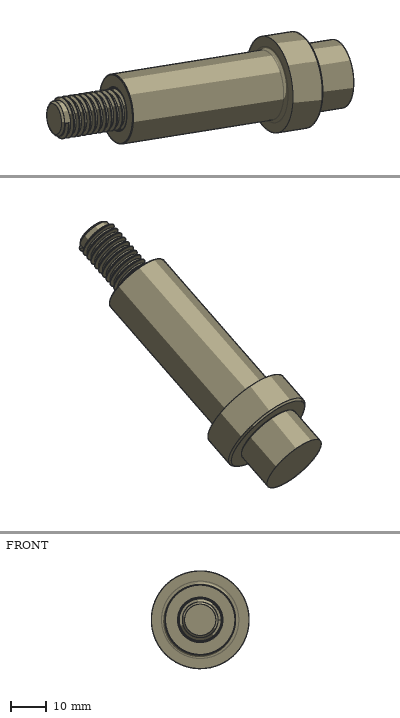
import cadquery as cq
import math

overall_length = 92.0
head_length = 12.0
flange_length = 10.0
sleeve_length = 50.0

head_rear_y = overall_length / 2
flange_rear_y = head_rear_y - head_length
flange_front_y = flange_rear_y - flange_length
sleeve_front_y = flange_front_y - sleeve_length
screw_tip_y = -overall_length / 2

flange_diameter = 28.0
sleeve_diameter = 20.2
clearance_diameter = 12.5
flange_chamfer = 0.55
sleeve_end_chamfer = 0.23
flange_fillet = 0.9

head_diameter = 19.9
head_seat_chamfer = 0.23
thread_diameter = 12.0
root_diameter = 10.2
tip_chamfer = 0.6
thread_pitch = 1.75
thread_turns = 12
thread_end_gap = 1.5
crest_width = 0.23
flank_angle = 30.0
root_overlap = 0.1


def cylinder(diameter, start_y, end_y):
    """Cylinder on the Y axis from start_y towards +Y to end_y."""
    axis_plane = cq.Plane(origin=(0, start_y, 0), xDir=(1, 0, 0), normal=(0, 1, 0))
    return cq.Workplane(axis_plane).circle(diameter / 2).extrude(end_y - start_y)


def make_bushing():
    """Sleeve with a flange at its rear end and a clearance hole right through, its front end chamfered."""
    flange = cylinder(flange_diameter, flange_front_y, flange_rear_y)
    flange = flange.faces(">Y").chamfer(flange_chamfer)
    sleeve = cylinder(sleeve_diameter, sleeve_front_y, flange_front_y)
    blank = flange.union(sleeve)
    front_plane_edges = cq.selectors.BoxSelector(
        (-flange_diameter, flange_front_y - flange_fillet, -flange_diameter),
        (flange_diameter, flange_front_y + flange_fillet, flange_diameter),
    )
    smallest_circle = cq.selectors.RadiusNthSelector(0)
    blank = blank.edges(front_plane_edges).edges(smallest_circle).fillet(flange_fillet)
    bushing = blank.cut(cylinder(clearance_diameter, sleeve_front_y, flange_rear_y))
    return bushing.faces("<Y").edges().chamfer(sleeve_end_chamfer)


def make_thread_ridge(start_y):
    """Right-handed helical ridge on the screw core, running from start_y towards +Y."""
    base_radius = root_diameter / 2 - root_overlap
    crest_radius = thread_diameter / 2
    half_crest = crest_width / 2
    half_base = half_crest + (crest_radius - base_radius) * math.tan(math.radians(flank_angle))
    helix = cq.Wire.makeHelix(thread_pitch, thread_pitch * thread_turns, base_radius)
    ridge = (
        cq.Workplane("XZ")
        .polyline([
            (base_radius, -half_base),
            (crest_radius, -half_crest),
            (crest_radius, half_crest),
            (base_radius, half_base),
        ])
        .close()
        .sweep(cq.Workplane(obj=helix), isFrenet=True)
    )
    return ridge.rotate((0, 0, 0), (1, 0, 0), -90).translate((0, start_y, 0))


def make_screw():
    """Cylindrical head, plain shank inside the bushing and a threaded end."""
    thread_start_y = screw_tip_y + thread_end_gap
    shank_front_y = thread_start_y + thread_pitch * thread_turns
    head = cylinder(head_diameter, flange_rear_y, head_rear_y)
    head = head.faces("<Y").chamfer(head_seat_chamfer)
    shank = cylinder(thread_diameter, shank_front_y, flange_rear_y)
    core = cylinder(root_diameter, screw_tip_y, shank_front_y)
    core = core.faces("<Y").chamfer(tip_chamfer)
    return core.union(make_thread_ridge(thread_start_y)).union(shank).union(head)


bushing = make_bushing()
screw = make_screw()

result = cq.Compound.makeCompound([bushing.solids().val(), screw.solids().val()])